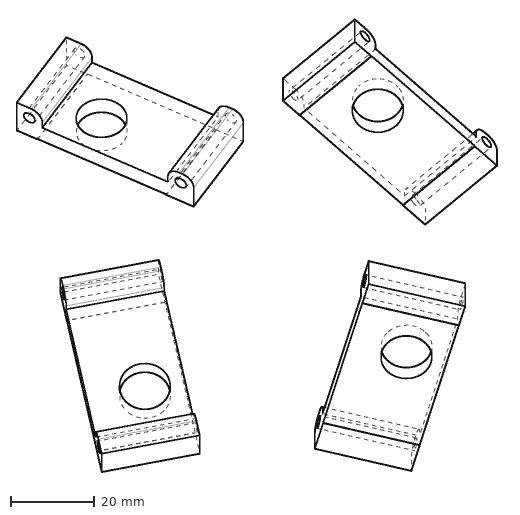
import cadquery as cq

length = 48.9
width = 24.0
height = 10.1

plate_thickness = 5.0
lug_length = 7.1
lug_round_radius = 3.1
pin_hole_diameter = 3.1
pin_hole_inset = lug_length / 2
pin_hole_height = height - pin_hole_inset

opening_diameter = 12.2
opening_x = 17.9
opening_y = 9.75

relief_depth = 0.15
left_foot_length = 5.7
right_foot_length = 7.65


def box_from_corner(size_x, size_z, x, z):
    """Full-width box whose lower left front corner is at (x, 0, z)."""
    return cq.Workplane("XY").box(size_x, width, size_z, centered=False).translate((x, 0, z))


def rounded_lug(x, rounded_edges):
    """Full-height end lug with the selected top edges rounded."""
    lug = box_from_corner(lug_length, height, x, 0)
    return lug.faces(">Z").edges(rounded_edges).fillet(lug_round_radius)


def pin_hole(x):
    """Cutter for a pin hole running the full width of a lug."""
    return (
        cq.Workplane("XZ")
        .center(x, pin_hole_height)
        .circle(pin_hole_diameter / 2)
        .extrude(-width)
    )


plate = box_from_corner(length, plate_thickness, 0, 0)
left_lug = rounded_lug(0, ">X")
right_lug = rounded_lug(length - lug_length, "|Y")
result = plate.union(left_lug).union(right_lug)

for hole_x in (pin_hole_inset, length - pin_hole_inset):
    result = result.cut(pin_hole(hole_x))

opening = (
    cq.Workplane("XY")
    .center(opening_x, opening_y)
    .circle(opening_diameter / 2)
    .extrude(plate_thickness)
)
result = result.cut(opening)

relief_length = length - left_foot_length - right_foot_length
result = result.cut(box_from_corner(relief_length, relief_depth, left_foot_length, 0))